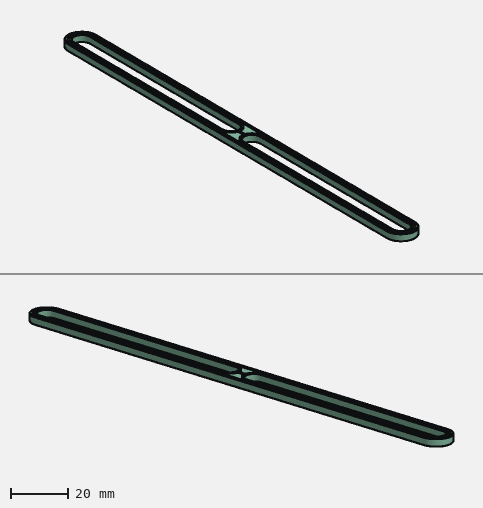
import cadquery as cq

length = 200.0
width = 12.5
height = 3.2

slot_width = 7.0
rail_width = (width - slot_width) / 2
web_neck = 2 * rail_width
slot_length = length / 2 - rail_width - web_neck / 2
slot_center = (web_neck + slot_length) / 2

edge_chamfer = 0.32

rim = 1.0
recess_depth = 0.5
neck_rib = 0.5


def stadium(total_length, total_width, depth, bottom, center_x=0):
    """Solid with a round-ended outline along X, standing on the level `bottom`."""
    return (
        cq.Workplane("XY", origin=(center_x, 0, bottom))
        .slot2D(total_length, total_width)
        .extrude(depth)
    )


def slot_pair(margin, depth, bottom):
    """Both slot shapes, grown outward by `margin`."""
    left, right = (
        stadium(slot_length + 2 * margin, slot_width + 2 * margin, depth, bottom, side * slot_center)
        for side in (-1, 1)
    )
    return left.union(right)


def recess():
    """Channel that follows the rails, divided by a rib across the web's neck."""
    floor = height - recess_depth
    channel = stadium(length - 2 * rim, width - 2 * rim, recess_depth, floor)
    rib = cq.Workplane("XY", origin=(0, 0, floor)).rect(web_neck, neck_rib).extrude(recess_depth)
    return channel.cut(slot_pair(rim, recess_depth, floor)).cut(rib)


def frame():
    """Band with both slots cut through and its edges chamfered."""
    band = stadium(length, width, height, 0).cut(slot_pair(0, height, 0))
    return band.faces(">Z or <Z").edges().chamfer(edge_chamfer)


result = frame().cut(recess())